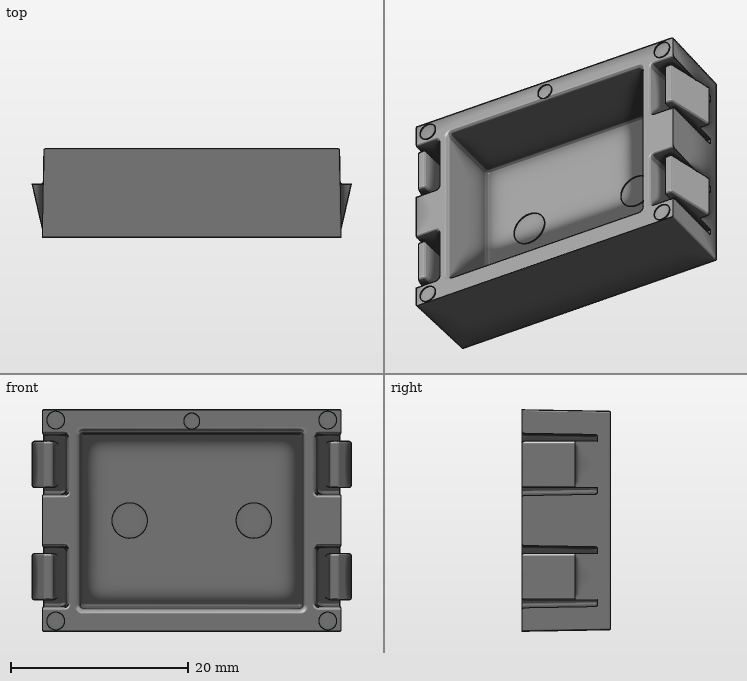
import cadquery as cq
import math


WIDTH = 33.7
HEIGHT = 25.0
DEPTH = 10.0
DRAFT_ANGLE = 1.0
DRAFT_SLOPE = math.tan(math.radians(DRAFT_ANGLE))
OUTER_ROUND = 0.2

CAVITY_WIDTH = 25.4
CAVITY_HEIGHT = 20.1
CAVITY_DEPTH = 8.4
CAVITY_ROUND = 0.5

POCKET_OFFSET_Z = 6.33
POCKET_HEIGHT = 7.04
POCKET_INNER_X = 13.84
POCKET_DEPTH = 8.55
POCKET_INNER_DRAFT_ANGLE = 2.4
POCKET_CORNER_ROUND = 0.5
POCKET_FLOOR_ROUND = 0.33
POCKET_RIM_ROUND = 0.25
POCKET_OVERRUN = 3.0

FINGER_HEIGHT = 5.24
FINGER_ROUND = 0.3
FINGER_ROOT_ROUND = 0.45
FINGER_FRONT_INNER_X = 15.68
FINGER_FRONT_OUTER_X = 16.63
FINGER_EMBED = 0.5
HOOK_TIP_X = 18.0
HOOK_LEDGE_Y = 6.0

MARK_DEPTH = 0.1
CORNER_MARK_DIAMETER = 2.0
CORNER_MARK_X = 15.34
CORNER_MARK_Z = 11.33
TOP_MARK_DIAMETER = 1.8
TOP_MARK_Z = 11.22
FLOOR_MARK_DIAMETER = 4.0
FLOOR_MARK_X = 7.0

TOLERANCE = 0.01


def plane_at(y):
    """Plane facing +Y at the given depth; its local y axis points along -Z."""
    return cq.Workplane(cq.Plane(origin=(0, y, 0), xDir=(1, 0, 0), normal=(0, 1, 0)))


def drafted_block(width, height, depth):
    """Block that starts at the front plane and narrows towards the back."""
    return plane_at(0).rect(width, height).extrude(depth, taper=DRAFT_ANGLE)


def body_side_x(y):
    """Half width of the drafted shell at depth y."""
    return WIDTH / 2 - y * DRAFT_SLOPE


def make_shell():
    shell = drafted_block(WIDTH, HEIGHT, DEPTH)
    return shell.edges("not <Y").fillet(OUTER_ROUND)


def make_cavity():
    cavity = drafted_block(CAVITY_WIDTH, CAVITY_HEIGHT, CAVITY_DEPTH)
    return cavity.edges("not <Y").fillet(CAVITY_ROUND)


def make_pocket():
    """Cutter for the upper pocket on the +X side, open towards +X."""
    outer_x = WIDTH / 2 + POCKET_OVERRUN
    floor_inner_x = POCKET_INNER_X + POCKET_DEPTH * math.tan(math.radians(POCKET_INNER_DRAFT_ANGLE))
    floor_height = POCKET_HEIGHT - 2 * POCKET_DEPTH * DRAFT_SLOPE
    pocket = (
        plane_at(0)
        .center((outer_x + POCKET_INNER_X) / 2, 0)
        .rect(outer_x - POCKET_INNER_X, POCKET_HEIGHT)
        .workplane(offset=POCKET_DEPTH)
        .center((floor_inner_x - POCKET_INNER_X) / 2, 0)
        .rect(outer_x - floor_inner_x, floor_height)
        .loft(ruled=True)
    )
    pocket = pocket.edges("not #Y").edges("<X").fillet(POCKET_CORNER_ROUND)
    pocket = pocket.faces(">Y").edges("not >X").fillet(POCKET_FLOOR_ROUND)
    return pocket.translate((0, 0, POCKET_OFFSET_Z))


def make_finger():
    """Upper snap finger on the +X side, rooted in the pocket floor."""
    root_y = POCKET_DEPTH + FINGER_EMBED
    ledge_x = body_side_x(HOOK_LEDGE_Y)
    arc_start_x = FINGER_FRONT_INNER_X - POCKET_DEPTH * DRAFT_SLOPE
    arc_start_y = POCKET_DEPTH - FINGER_ROOT_ROUND
    arc_end_x = arc_start_x - FINGER_ROOT_ROUND
    arc_middle_inset = FINGER_ROOT_ROUND * math.sqrt(0.5)
    finger = (
        cq.Workplane("XY")
        .moveTo(FINGER_FRONT_INNER_X, 0)
        .lineTo(arc_start_x, arc_start_y)
        .threePointArc(
            (arc_end_x + arc_middle_inset, arc_start_y + arc_middle_inset),
            (arc_end_x, POCKET_DEPTH),
        )
        .lineTo(arc_end_x, root_y)
        .lineTo(body_side_x(root_y), root_y)
        .lineTo(ledge_x, HOOK_LEDGE_Y)
        .lineTo(HOOK_TIP_X, HOOK_LEDGE_Y)
        .lineTo(FINGER_FRONT_OUTER_X, 0)
        .close()
        .extrude(FINGER_HEIGHT / 2, both=True)
    )

    ledge_corner = cq.selectors.NearestToPointSelector((ledge_x, HOOK_LEDGE_Y, 0))
    finger = finger.edges("|Z").edges(ledge_corner).fillet(FINGER_ROUND)

    front_edges = finger.faces("<Y").edges().vals()
    side_edge_spots = [
        ((FINGER_FRONT_INNER_X + arc_start_x) / 2, arc_start_y / 2),
        (arc_end_x + arc_middle_inset, arc_start_y + arc_middle_inset),
        (arc_end_x, (POCKET_DEPTH + root_y) / 2),
        ((HOOK_TIP_X + FINGER_FRONT_OUTER_X) / 2, HOOK_LEDGE_Y / 2),
    ]
    side_edges = []
    for x, y in side_edge_spots:
        for z in (-FINGER_HEIGHT / 2, FINGER_HEIGHT / 2):
            side_edges += finger.edges(cq.selectors.NearestToPointSelector((x, y, z))).vals()
    finger = finger.newObject(front_edges + side_edges).fillet(FINGER_ROUND)
    return finger.translate((0, 0, POCKET_OFFSET_Z))


def on_all_sides(feature):
    """The four copies of a +X +Z feature mirrored about the X and Z mid-planes."""
    upper = [feature, feature.mirror("YZ")]
    return upper + [copy.mirror("XY") for copy in upper]


def round_rims(body):
    """Round the front edges around the cavity and around the pockets."""
    front = body.faces("<Y").edges()
    cavity_zone = cq.selectors.BoxSelector(
        (-CAVITY_WIDTH / 2 - TOLERANCE, -TOLERANCE, -CAVITY_HEIGHT / 2 - TOLERANCE),
        (CAVITY_WIDTH / 2 + TOLERANCE, TOLERANCE, CAVITY_HEIGHT / 2 + TOLERANCE),
        boundingbox=True,
    )
    body = front.edges(cavity_zone).fillet(CAVITY_ROUND)

    pocket_edges = []
    pocket_top = POCKET_OFFSET_Z + POCKET_HEIGHT / 2
    pocket_bottom = POCKET_OFFSET_Z - POCKET_HEIGHT / 2
    for edge in body.faces("<Y").edges().vals():
        center = edge.Center()
        beside_pocket = pocket_bottom - TOLERANCE < abs(center.z) < pocket_top + TOLERANCE
        if beside_pocket and abs(center.x) > POCKET_INNER_X - TOLERANCE:
            pocket_edges.append(edge)
    return body.newObject(pocket_edges).fillet(POCKET_RIM_ROUND)


def mark(diameter, x, y, z):
    """Cutter for a shallow round mark sunk into the face at depth y."""
    return plane_at(y).center(x, -z).circle(diameter / 2).extrude(MARK_DEPTH)


def make_marks():
    marks = on_all_sides(mark(CORNER_MARK_DIAMETER, CORNER_MARK_X, 0, CORNER_MARK_Z))
    marks.append(mark(TOP_MARK_DIAMETER, 0, 0, TOP_MARK_Z))
    for x in (-FLOOR_MARK_X, FLOOR_MARK_X):
        marks.append(mark(FLOOR_MARK_DIAMETER, x, CAVITY_DEPTH, 0))
    return marks


body = make_shell().cut(make_cavity())
for pocket in on_all_sides(make_pocket()):
    body = body.cut(pocket)
body = round_rims(body)
for finger in on_all_sides(make_finger()):
    body = body.union(finger)
for cutter in make_marks():
    body = body.cut(cutter)

result = body